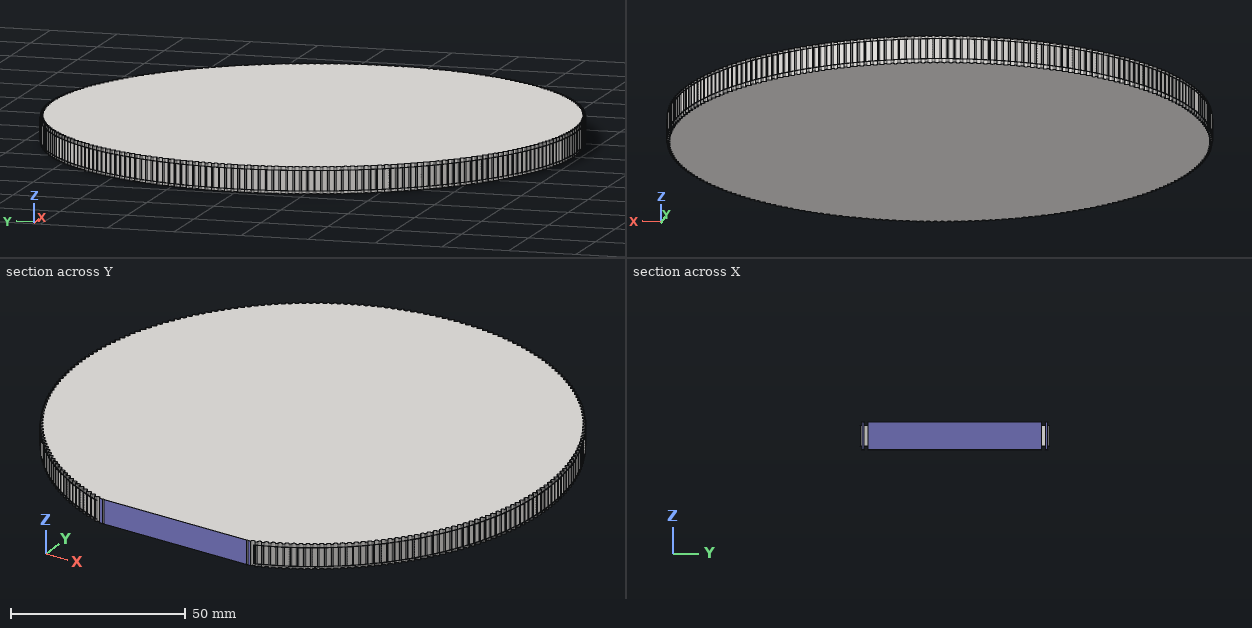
import cadquery as cq
import math

BAND_DIAMETER = 156.6
HEIGHT = 8.0
TOOTH_COUNT = 246
BAND_THICKNESS = 0.25
BARE_TOOTH_HEIGHT = 1.0
GROOVE_DEPTH = 0.74
BOTTOM_ARC_RADIUS = 0.6
FLANK_ARC_RADIUS = 1.0
TIP_FILLET_RADIUS = 0.19

BAND_RADIUS = BAND_DIAMETER / 2
TIP_RADIUS = BAND_RADIUS - BAND_THICKNESS
ROOT_RADIUS = TIP_RADIUS - GROOVE_DEPTH
BAND_HEIGHT = HEIGHT - 2 * BARE_TOOTH_HEIGHT
PITCH_ANGLE = 2 * math.pi / TOOTH_COUNT


def point_towards(start, target, distance):
    """Point at `distance` from `start` on the line through `target`."""
    share = distance / math.dist(start, target)
    return tuple(a + share * (b - a) for a, b in zip(start, target))


def arc_middle(center, start, end):
    """Middle point of the short arc from `start` to `end`."""
    chord_middle = tuple((a + b) / 2 for a, b in zip(start, end))
    return point_towards(center, chord_middle, math.dist(center, start))


def groove_half_profile():
    """Points on the +Y half of the groove centred on +X, from its bottom out to the tip circle.

    The bottom, flank and tip fillet arcs run tangent into each other.
    """
    bottom_center = (ROOT_RADIUS + BOTTOM_ARC_RADIUS, 0)
    flank_center_depth = TIP_RADIUS - bottom_center[0]
    center_distance = FLANK_ARC_RADIUS - BOTTOM_ARC_RADIUS
    flank_center_offset = math.sqrt(center_distance**2 - flank_center_depth**2)
    flank_center = (TIP_RADIUS, -flank_center_offset)

    from_axis = TIP_RADIUS - TIP_FILLET_RADIUS
    from_flank = FLANK_ARC_RADIUS + TIP_FILLET_RADIUS
    axis_to_flank = math.hypot(*flank_center)
    angle_between = math.acos(
        (from_axis**2 + axis_to_flank**2 - from_flank**2) / (2 * from_axis * axis_to_flank)
    )
    fillet_angle = math.atan2(flank_center[1], flank_center[0]) + angle_between
    fillet_center = (from_axis * math.cos(fillet_angle), from_axis * math.sin(fillet_angle))

    flank_start = point_towards(flank_center, bottom_center, FLANK_ARC_RADIUS)
    flank_end = point_towards(flank_center, fillet_center, FLANK_ARC_RADIUS)
    fillet_end = point_towards((0, 0), fillet_center, TIP_RADIUS)

    flank_middle = arc_middle(flank_center, flank_start, flank_end)
    fillet_middle = arc_middle(fillet_center, flank_end, fillet_end)
    return [flank_start, flank_middle, flank_end, fillet_middle, fillet_end]


def turned(point, angle):
    """`point` turned about the disc axis."""
    x, y = point
    return (
        x * math.cos(angle) - y * math.sin(angle),
        x * math.sin(angle) + y * math.cos(angle),
    )


def toothed_disc():
    """Solid disc with grooves all round; the first groove is centred on +X."""
    rising = groove_half_profile()
    falling = [(x, -y) for x, y in reversed(rising)]
    groove = falling + [(ROOT_RADIUS, 0)] + rising
    tip_middle = turned((TIP_RADIUS, 0), PITCH_ANGLE / 2)
    next_groove_start = turned(groove[0], PITCH_ANGLE)
    tooth_pitch = groove + [tip_middle, next_groove_start]

    edges = []
    for index in range(TOOTH_COUNT):
        points = [cq.Vector(*turned(point, index * PITCH_ANGLE)) for point in tooth_pitch]
        for start, middle, end in zip(points[0::2], points[1::2], points[2::2]):
            edges.append(cq.Edge.makeThreePointArc(start, middle, end))
    outline = cq.Wire.assembleEdges(edges)
    return cq.Workplane(cq.Solid.extrudeLinear(outline, [], cq.Vector(0, 0, HEIGHT)))


def tip_band():
    """Thin ring that joins the tooth tips and closes the grooves at mid height."""
    return (
        cq.Workplane("XY")
        .workplane(offset=BARE_TOOTH_HEIGHT)
        .circle(BAND_RADIUS)
        .circle(TIP_RADIUS)
        .extrude(BAND_HEIGHT)
    )


result = toothed_disc().union(tip_band(), clean=False)